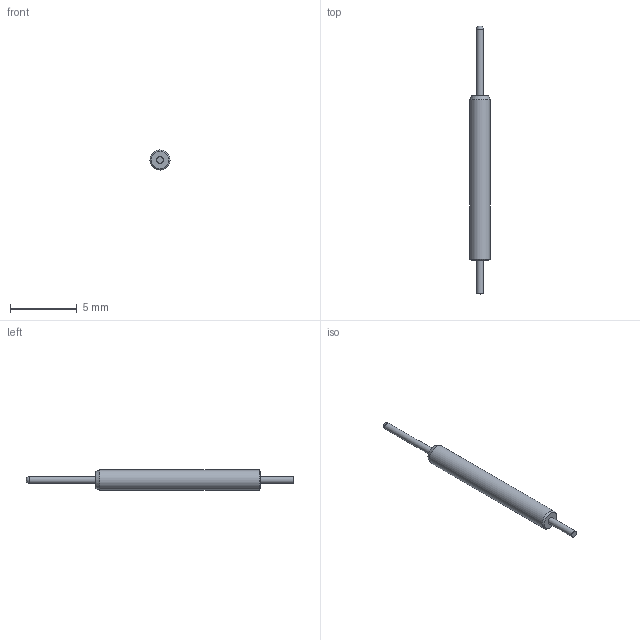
import cadquery as cq
import math

total_length = 20.0
body_diameter = 1.5
pin_diameter = 0.5

tail_length = 2.5
plunger_length = 5.2
tail_chamfer = 0.1
taper_length = 0.3
taper_depth = 0.135

body_radius = body_diameter / 2
pin_radius = pin_diameter / 2
tip_radius = pin_radius

tail_end = -total_length / 2
tip_end = total_length / 2
body_start = tail_end + tail_length
body_end = tip_end - plunger_length
tip_start = tip_end - tip_radius

tip_mid_offset = tip_radius * math.sqrt(0.5)


def half_profile():
    """Closed half section in the XY plane, with one side on the Y axis."""
    return (
        cq.Workplane("XY")
        .moveTo(0, tail_end)
        .lineTo(pin_radius, tail_end)
        .lineTo(pin_radius, body_start)
        .lineTo(body_radius - tail_chamfer, body_start)
        .lineTo(body_radius, body_start + tail_chamfer)
        .lineTo(body_radius, body_end - taper_length)
        .lineTo(body_radius - taper_depth, body_end)
        .lineTo(pin_radius, body_end)
        .lineTo(pin_radius, tip_start)
        .threePointArc((tip_mid_offset, tip_start + tip_mid_offset), (0, tip_end))
        .close()
    )


result = half_profile().revolve(360, (0, 0, 0), (0, 1, 0))